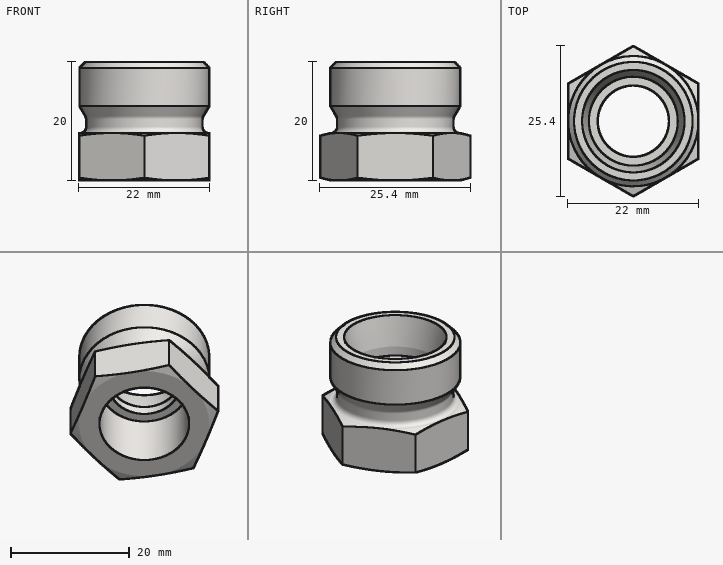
import cadquery as cq
import math

corner_diameter = 25.4
hex_height = 8.0
hex_chamfer_angle = math.radians(15)
corner_radius = corner_diameter / 2
flat_radius = corner_radius * math.cos(math.radians(30))
corner_drop = (corner_radius - flat_radius) * math.tan(hex_chamfer_angle)

total_height = 20.0
spigot_radius = flat_radius
spigot_bottom = 12.57
top_chamfer = 1.0
groove_radius = 19.7 / 2
groove_fillet = 1.0
groove_cone_angle = math.radians(30)
groove_cone_height = (spigot_radius - groove_radius) / math.tan(groove_cone_angle)
groove_cone_bottom = spigot_bottom - groove_cone_height

mouth_radius = 17.3 / 2
tube_radius = 15.0 / 2
bore_radius = 12.0 / 2
lower_radius = 15.15 / 2
mouth_angle = math.radians(12)
mouth_depth = (mouth_radius - tube_radius) / math.tan(mouth_angle)
tube_depth = 7.0
bore_bottom_depth = 9.0
mouth_bottom = total_height - mouth_depth
tube_bottom = total_height - tube_depth
bore_bottom = total_height - bore_bottom_depth


def revolve_profile(sketch):
    """Close a radius-height outline and turn it around the Z axis."""
    return sketch.close().revolve(360, (0, 0, 0), (0, 1, 0))


def make_hexagon():
    """Hexagonal prism with conically chamfered corners at both ends."""
    prism = cq.Workplane("XY").polygon(6, corner_diameter).extrude(hex_height)
    prism = prism.rotate((0, 0, 0), (0, 0, 1), 30)
    envelope = revolve_profile(
        cq.Workplane("XZ")
        .moveTo(0, 0)
        .lineTo(flat_radius, 0)
        .lineTo(corner_radius, corner_drop)
        .lineTo(corner_radius, hex_height - corner_drop)
        .lineTo(flat_radius, hex_height)
        .lineTo(0, hex_height)
    )
    return prism.intersect(envelope)


def make_spigot():
    """Chamfered round end with a filleted relief groove above the hexagon."""
    tangent_length = groove_fillet * math.tan(groove_cone_angle / 2)
    arc_bottom = groove_cone_bottom - tangent_length
    arc_top = arc_bottom + groove_fillet * math.sin(groove_cone_angle)
    arc_top_radius = groove_radius + groove_fillet * (1 - math.cos(groove_cone_angle))
    return revolve_profile(
        cq.Workplane("XZ")
        .moveTo(0, 0)
        .lineTo(groove_radius + groove_fillet, 0)
        .lineTo(groove_radius + groove_fillet, hex_height)
        .radiusArc((groove_radius, hex_height + groove_fillet), groove_fillet)
        .lineTo(groove_radius, arc_bottom)
        .radiusArc((arc_top_radius, arc_top), groove_fillet)
        .lineTo(spigot_radius, spigot_bottom)
        .lineTo(spigot_radius, total_height - top_chamfer)
        .lineTo(spigot_radius - top_chamfer, total_height)
        .lineTo(0, total_height)
    )


def make_bore():
    """Stepped cavity that runs through the whole part."""
    return revolve_profile(
        cq.Workplane("XZ")
        .moveTo(0, 0)
        .lineTo(lower_radius, 0)
        .lineTo(lower_radius, bore_bottom)
        .lineTo(bore_radius, bore_bottom)
        .lineTo(bore_radius, tube_bottom)
        .lineTo(tube_radius, tube_bottom)
        .lineTo(tube_radius, mouth_bottom)
        .lineTo(mouth_radius, total_height)
        .lineTo(0, total_height)
    )


result = make_hexagon().union(make_spigot()).cut(make_bore())